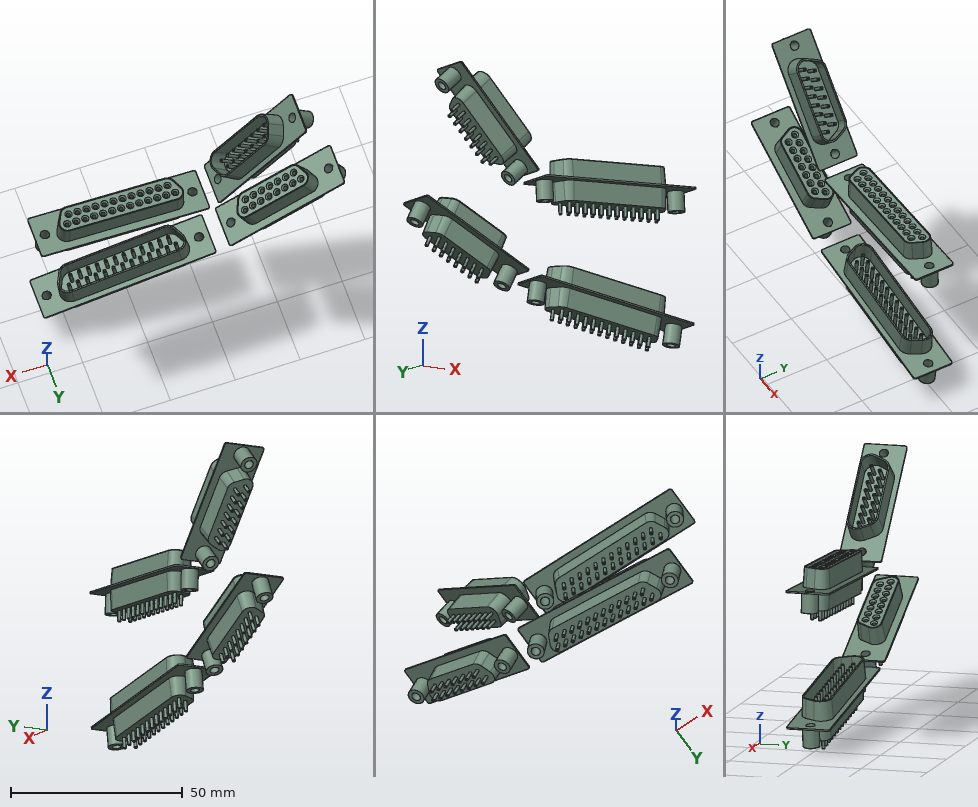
import cadquery as cq
PITCH = 2.8
ROW_OFFSET = 1.4

FLANGE_WIDTH = 13.0
FLANGE_THICKNESS = 0.5
FLANGE_CORNER_RADIUS = 0.7

STANDOFF_DIAMETER = 5.0
MOUNTING_HOLE_DIAMETER = 2.7

BACK_CORNER_RADIUS = 2.8
SOCKET_CORNER_RADIUS = 2.8
SHROUD_CORNER_RADIUS = 3.4
STAGE_HEIGHT = 5.9
DRAFT_ANGLE = 3.0
SHROUD_WALL = 0.5
SOCKET_WALL = 0.3
SOCKET_FACE_RECESS = 0.1

PIN_DIAMETER = 1.0
PIN_TIP_CHAMFER = 0.24
TAIL_LENGTH = 3.35
MALE_PIN_LENGTH = 4.8
SOCKET_HOLE_DIAMETER = 1.15
SOCKET_HOLE_DEPTH = 3.8
COUNTERSINK_DIAMETER = 2.1
COUNTERSINK_ANGLE = 90.0

FLANGE_TOP = FLANGE_THICKNESS / 2
FLANGE_BOTTOM = -FLANGE_TOP
BACK_BOTTOM = FLANGE_BOTTOM - STAGE_HEIGHT


def end_contact_x(row_count):
    return (row_count - 1) * PITCH / 2


def contact_points(long_row_count):
    """Two staggered rows, the longer one on the +Y side."""
    points = []
    for count, y in ((long_row_count, ROW_OFFSET), (long_row_count - 1, -ROW_OFFSET)):
        first_x = -end_contact_x(count)
        points += [(first_x + i * PITCH, y) for i in range(count)]
    return points


def d_stage(long_row_count, corner_radius, base_z, height):
    """Drafted D block whose corners are centred on the end contacts of both rows."""
    long_x = end_contact_x(long_row_count)
    short_x = end_contact_x(long_row_count - 1)
    corner_centres = [
        (-long_x, ROW_OFFSET),
        (long_x, ROW_OFFSET),
        (short_x, -ROW_OFFSET),
        (-short_x, -ROW_OFFSET),
    ]
    return (
        cq.Workplane("XY", origin=(0, 0, base_z))
        .polyline(corner_centres)
        .close()
        .offset2D(corner_radius, "arc")
        .extrude(height, taper=DRAFT_ANGLE)
    )


def flange(length):
    return (
        cq.Workplane("XY")
        .box(length, FLANGE_WIDTH, FLANGE_THICKNESS)
        .edges("|Z")
        .fillet(FLANGE_CORNER_RADIUS)
    )


def standoffs(mounting_points):
    return (
        cq.Workplane("XY", origin=(0, 0, FLANGE_BOTTOM))
        .pushPoints(mounting_points)
        .circle(STANDOFF_DIAMETER / 2)
        .extrude(-STAGE_HEIGHT)
    )


def mounting_holes(mounting_points):
    return (
        cq.Workplane("XY", origin=(0, 0, FLANGE_TOP))
        .pushPoints(mounting_points)
        .circle(MOUNTING_HOLE_DIAMETER / 2)
        .extrude(BACK_BOTTOM - FLANGE_TOP)
    )


def pins(points, base_z, length, tip_selector):
    return (
        cq.Workplane("XY", origin=(0, 0, base_z))
        .pushPoints(points)
        .circle(PIN_DIAMETER / 2)
        .extrude(length)
        .faces(tip_selector)
        .chamfer(PIN_TIP_CHAMFER)
    )


def connector_base(long_row_count, flange_length, mounting_spacing):
    """Flange with standoffs, back stage and solder pins, common to both genders."""
    mounting_points = [(-mounting_spacing / 2, 0), (mounting_spacing / 2, 0)]
    back = d_stage(long_row_count, BACK_CORNER_RADIUS, FLANGE_BOTTOM, -STAGE_HEIGHT)
    tails = pins(contact_points(long_row_count), BACK_BOTTOM, -TAIL_LENGTH, "<Z")
    return (
        flange(flange_length)
        .union(standoffs(mounting_points))
        .union(back)
        .union(tails)
        .cut(mounting_holes(mounting_points))
    )


def male_connector(long_row_count, flange_length, mounting_spacing):
    """Open shroud around mating pins that stand on the flange."""
    outside = d_stage(long_row_count, SHROUD_CORNER_RADIUS, FLANGE_TOP, STAGE_HEIGHT)
    inside_radius = SHROUD_CORNER_RADIUS - SHROUD_WALL
    inside = d_stage(long_row_count, inside_radius, FLANGE_TOP, STAGE_HEIGHT)
    mating_pins = pins(contact_points(long_row_count), FLANGE_TOP, MALE_PIN_LENGTH, ">Z")
    base = connector_base(long_row_count, flange_length, mounting_spacing)
    return base.union(outside.cut(inside)).union(mating_pins)


def female_connector(long_row_count, flange_length, mounting_spacing):
    """Solid D socket with a countersunk blind hole for each contact."""
    shell = d_stage(long_row_count, SOCKET_CORNER_RADIUS, FLANGE_TOP, STAGE_HEIGHT)
    inside_radius = SOCKET_CORNER_RADIUS - SOCKET_WALL
    inside = d_stage(long_row_count, inside_radius, FLANGE_TOP, STAGE_HEIGHT)
    face_z = FLANGE_TOP + STAGE_HEIGHT - SOCKET_FACE_RECESS
    recess = inside.intersect(
        cq.Workplane("XY", origin=(0, 0, face_z)).rect(flange_length, FLANGE_WIDTH).extrude(STAGE_HEIGHT)
    )
    socket = (
        shell.cut(recess)
        .copyWorkplane(cq.Workplane("XY", origin=(0, 0, face_z)))
        .pushPoints(contact_points(long_row_count))
        .cskHole(SOCKET_HOLE_DIAMETER, COUNTERSINK_DIAMETER, COUNTERSINK_ANGLE, SOCKET_HOLE_DEPTH)
    )
    return connector_base(long_row_count, flange_length, mounting_spacing).union(socket)


def place(connector, centre_x, centre_z, tilt):
    """Tilt about Y (positive lowers the +X end), then move to its place."""
    return connector.rotate((0, 0, 0), (0, 1, 0), tilt).translate((centre_x, 0, centre_z))


DA_CONTACTS = 8
DA_FLANGE_LENGTH = 39.7
DA_MOUNTING_SPACING = 33.8

DB_CONTACTS = 13
DB_MALE_FLANGE_LENGTH = 53.7
DB_MALE_MOUNTING_SPACING = 47.5
DB_FEMALE_FLANGE_LENGTH = 51.9
DB_FEMALE_MOUNTING_SPACING = 45.6

male_15 = male_connector(DA_CONTACTS, DA_FLANGE_LENGTH, DA_MOUNTING_SPACING)
male_15 = place(male_15.rotate((0, 0, 0), (0, 0, 1), 180), -20.3, 23.4, 47.2)

female_15 = female_connector(DA_CONTACTS, DA_FLANGE_LENGTH, DA_MOUNTING_SPACING)
female_15 = place(female_15, -27.85, -12.3, 26.95)

male_25 = male_connector(DB_CONTACTS, DB_MALE_FLANGE_LENGTH, DB_MALE_MOUNTING_SPACING)
male_25 = place(male_25, 20.6, -26.5, 8.6)

female_25 = female_connector(DB_CONTACTS, DB_FEMALE_FLANGE_LENGTH, DB_FEMALE_MOUNTING_SPACING)
female_25 = place(female_25, 21.9, 8.9, -2.75)

connectors = [male_15, female_15, male_25, female_25]
result = cq.Compound.makeCompound([connector.solids().val() for connector in connectors])